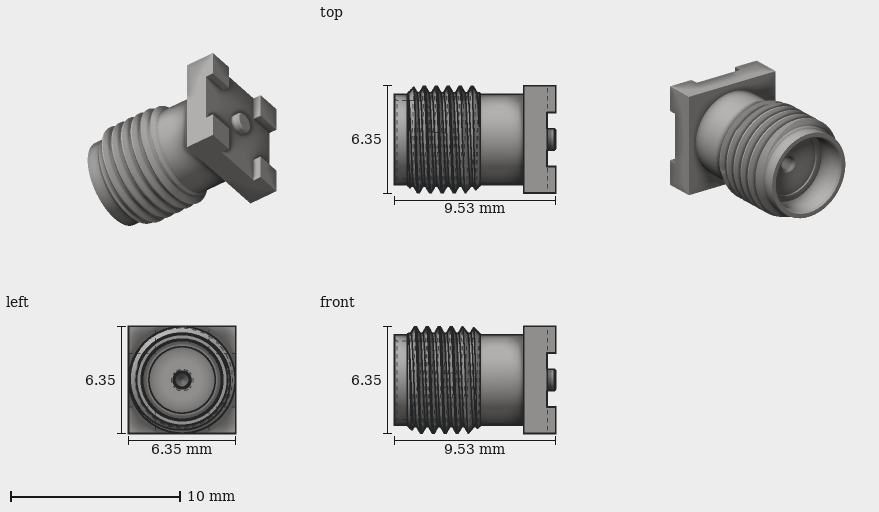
import cadquery as cq
import math


total_length = 9.53
flange_thickness = 1.905
flange_face = total_length - flange_thickness

barrel_radius = 2.68
flange_side = 6.35
standoff_height = 0.51
relief_width = flange_side / 2

thread_start = 0.762
thread_end = 5.08
major_radius = 3.14
pitch = 25.4 / 36
flank_angle = math.radians(30)
sharp_height = pitch / (2 * math.tan(flank_angle))
thread_depth = 5 / 8 * sharp_height
root_width = pitch / 4
crest_position = 1.242
cut_clearance = 0.04
run_out_turns = 1
seam_roll = 45

bore_radius = 2.325
bore_depth = 1.9
mouth_chamfer = 0.085
mouth_chamfer_length = 0.13
dielectric_radius = 1.96
dielectric_recess = 0.13

contact_hole_radius = 0.43
contact_hole_depth = 1.5
tip_half_angle = math.radians(59)
contact_chamfer = 0.09
pin_radius = 0.635
pin_chamfer = 0.1


def x_cylinder(radius, start, end):
    """Solid cylinder about the X axis, from x = start to x = end."""
    return cq.Workplane("YZ").workplane(offset=start).circle(radius).extrude(end - start)


def turned(points):
    """Revolve a list of (x, radius) points about the X axis."""
    return cq.Workplane("XY").polyline(points).close().revolve(360, (0, 0, 0), (1, 0, 0))


def thread_groove():
    """Helical trapezoidal cutter that starts ahead of the thread and runs out past its end."""
    groove_start = crest_position - 1.5 * pitch
    turns = math.ceil((thread_end - groove_start) / pitch) + run_out_turns
    root_radius = major_radius - thread_depth
    outer_radius = major_radius + cut_clearance
    outer_width = root_width + 2 * (outer_radius - root_radius) * math.tan(flank_angle)
    path = cq.Wire.makeHelix(pitch, turns * pitch, root_radius)
    cutter = (
        cq.Workplane("XZ")
        .polyline(
            [
                (root_radius, -root_width / 2),
                (outer_radius, -outer_width / 2),
                (outer_radius, outer_width / 2),
                (root_radius, root_width / 2),
            ]
        )
        .close()
        .sweep(cq.Workplane(path), isFrenet=True)
    )
    cutter = cutter.rotate((0, 0, 0), (0, 1, 0), 90).rotate((0, 0, 0), (1, 0, 0), 180)
    return cutter.translate((groove_start, 0, 0))


def threaded_sleeve():
    """Sleeve with 45-degree end chamfers and the helical groove cut through them."""
    chamfer = major_radius - barrel_radius
    blank = turned(
        [
            (thread_start, 0),
            (thread_start, barrel_radius),
            (thread_start + chamfer, major_radius),
            (thread_end - chamfer, major_radius),
            (thread_end, barrel_radius),
            (thread_end, 0),
        ]
    )
    return blank.rotate((0, 0, 0), (1, 0, 0), seam_roll).cut(thread_groove())


def flange():
    """Square plate with a cross-shaped relief that leaves four corner standoffs."""
    plate = cq.Workplane("YZ").workplane(offset=flange_face).rect(flange_side, flange_side)
    plate = plate.extrude(flange_thickness)
    relief = (
        cq.Workplane("YZ")
        .workplane(offset=total_length - standoff_height)
        .rect(flange_side, relief_width)
        .extrude(standoff_height)
    )
    return plate.cut(relief).cut(relief.rotate((0, 0, 0), (1, 0, 0), 90))


def solder_pin():
    """Chamfered pin standing in the relief, level with the standoffs."""
    return x_cylinder(pin_radius, flange_face, total_length).faces(">X").chamfer(pin_chamfer)


def socket():
    """Bore with a chamfered mouth and a dielectric face set slightly below its floor."""
    floor = bore_depth + dielectric_recess
    return turned(
        [
            (0, 0),
            (0, bore_radius + mouth_chamfer),
            (mouth_chamfer_length, bore_radius),
            (bore_depth, bore_radius),
            (bore_depth, dielectric_radius),
            (floor, dielectric_radius),
            (floor, 0),
        ]
    )


def contact_hole():
    """Chamfered blind hole with a conical drill tip."""
    mouth = bore_depth + dielectric_recess
    shoulder = mouth + contact_hole_depth
    return turned(
        [
            (mouth, 0),
            (mouth, contact_hole_radius + contact_chamfer),
            (mouth + contact_chamfer, contact_hole_radius),
            (shoulder, contact_hole_radius),
            (shoulder + contact_hole_radius / math.tan(tip_half_angle), 0),
        ]
    )


barrel = x_cylinder(barrel_radius, 0, flange_face)
body = barrel.union(threaded_sleeve()).union(flange()).union(solder_pin())
result = body.cut(socket()).cut(contact_hole())